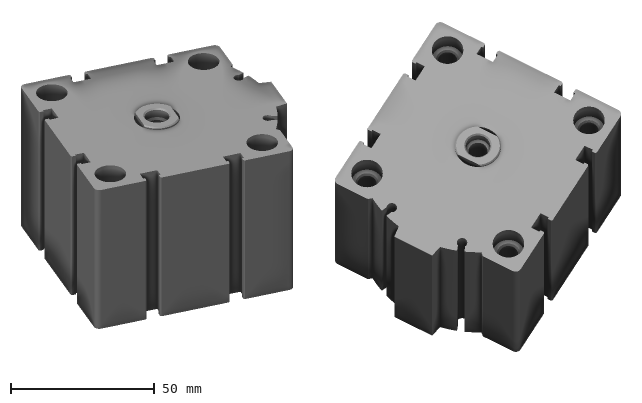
import cadquery as cq
import math

WIDTH = 74.0
HALF = WIDTH / 2
TOTAL_DEPTH = 82.5
CREST_Y = TOTAL_DEPTH - HALF
TOTAL_HEIGHT = 58.0
ROD_PROTRUSION = 1.0
HOUSING_HEIGHT = TOTAL_HEIGHT - ROD_PROTRUSION
CORNER_RADIUS = 2.0

SHOULDER_RADIUS = 42.0
SHOULDER_END_X = 21.8
SHOULDER_GROOVE_X = 23.0
BLOCK_TOP_HALF_WIDTH = 7.6
BLOCK_BASE_HALF_WIDTH = 8.25

SENSOR_ANGLE = 21.4
SENSOR_PITCH_RADIUS = 38.5
SENSOR_DIAMETER = 3.6
SENSOR_NECK_WIDTH = 2.55

SLOT_OFFSET = 15.5
SLOT_MOUTH_WIDTH = 5.1
SLOT_INNER_WIDTH = 6.5
SLOT_LIP = 1.7
SLOT_LIP_CHAMFER = 0.4
SLOT_DEPTH = 5.0

MOUNT_PITCH = 56.6
COUNTERBORE_DIAMETER = 11.0
COUNTERBORE_DEPTH = 7.0
MOUNT_MOUTH_DIAMETER = 8.0
MOUNT_DIAMETER = 6.8

ROD_DIAMETER = 16.0
ROD_BOTTOM_Z = 9.9
ROD_CHAMFER = 0.4
FLAT_SPACING = 13.0
FLAT_HEIGHT = 6.0

ROD_HOLE_CHAMFER = 0.5
ROD_HOLE_DIAMETER = 8.6
ROD_HOLE_DEPTH = 3.5
DRILL_DIAMETER = 6.7
DRILL_DEPTH = 16.5
DRILL_POINT_ANGLE = 118.0


def on_shoulder(x):
    """Point of the shoulder arc at the given x."""
    return x, math.sqrt(SHOULDER_RADIUS**2 - x**2)


def mirrored(point):
    """The point reflected across the Y axis."""
    return -point[0], point[1]


def housing_blank():
    arc_start = on_shoulder(SHOULDER_END_X)
    arc_middle = on_shoulder((SHOULDER_END_X + BLOCK_BASE_HALF_WIDTH) / 2)
    arc_end = on_shoulder(BLOCK_BASE_HALF_WIDTH)
    blank = (
        cq.Workplane("XY")
        .moveTo(-HALF, -HALF)
        .lineTo(HALF, -HALF)
        .lineTo(HALF, HALF)
        .lineTo(SHOULDER_GROOVE_X, HALF)
        .lineTo(*arc_start)
        .threePointArc(arc_middle, arc_end)
        .lineTo(BLOCK_TOP_HALF_WIDTH, CREST_Y)
        .lineTo(-BLOCK_TOP_HALF_WIDTH, CREST_Y)
        .lineTo(*mirrored(arc_end))
        .threePointArc(mirrored(arc_middle), mirrored(arc_start))
        .lineTo(-SHOULDER_GROOVE_X, HALF)
        .lineTo(-HALF, HALF)
        .close()
        .extrude(HOUSING_HEIGHT)
    )
    corner_points = [(x, y, HOUSING_HEIGHT / 2) for x in (-HALF, HALF) for y in (-HALF, HALF)]
    for point in corner_points:
        blank = blank.edges("|Z").edges(cq.selectors.NearestToPointSelector(point)).fillet(CORNER_RADIUS)
    return blank


def t_slot():
    """T-slot with a chamfered mouth, opening to -Y at the origin, as a solid to cut away."""
    half_mouth = SLOT_MOUTH_WIDTH / 2
    half_inner = SLOT_INNER_WIDTH / 2
    right_side = [
        (half_mouth + SLOT_LIP_CHAMFER, 0),
        (half_mouth, SLOT_LIP_CHAMFER),
        (half_mouth, SLOT_LIP),
        (half_inner, SLOT_LIP),
        (half_inner, SLOT_DEPTH),
    ]
    left_side = [mirrored(point) for point in reversed(right_side)]
    return cq.Workplane("XY").polyline(right_side + left_side).close().extrude(HOUSING_HEIGHT)


def sensor_groove():
    """Sensor groove on the +Y axis, to be turned to its place and cut away."""
    neck_length = CREST_Y - SENSOR_PITCH_RADIUS
    channel = cq.Workplane("XY").center(0, SENSOR_PITCH_RADIUS).circle(SENSOR_DIAMETER / 2)
    neck = (
        cq.Workplane("XY")
        .center(0, SENSOR_PITCH_RADIUS + neck_length / 2)
        .rect(SENSOR_NECK_WIDTH, neck_length)
    )
    return channel.extrude(HOUSING_HEIGHT).union(neck.extrude(HOUSING_HEIGHT))


def mounting_hole():
    """Counterbored through hole with a 45 degree mouth, as a revolved solid on the Z axis."""
    floor_z = HOUSING_HEIGHT - COUNTERBORE_DEPTH
    mouth_depth = (MOUNT_MOUTH_DIAMETER - MOUNT_DIAMETER) / 2
    return (
        cq.Workplane("XZ")
        .moveTo(0, 0)
        .lineTo(MOUNT_DIAMETER / 2, 0)
        .lineTo(MOUNT_DIAMETER / 2, floor_z - mouth_depth)
        .lineTo(MOUNT_MOUTH_DIAMETER / 2, floor_z)
        .lineTo(COUNTERBORE_DIAMETER / 2, floor_z)
        .lineTo(COUNTERBORE_DIAMETER / 2, HOUSING_HEIGHT)
        .lineTo(0, HOUSING_HEIGHT)
        .close()
        .revolve()
    )


def make_housing():
    housing = housing_blank()
    for turn in (-90, 0, 90):
        for x in (-SLOT_OFFSET, SLOT_OFFSET):
            slot = t_slot().translate((x, -HALF, 0))
            housing = housing.cut(slot.rotate((0, 0, 0), (0, 0, 1), turn))
    for turn in (-SENSOR_ANGLE, SENSOR_ANGLE):
        housing = housing.cut(sensor_groove().rotate((0, 0, 0), (0, 0, 1), turn))
    for x in (-MOUNT_PITCH / 2, MOUNT_PITCH / 2):
        for y in (-MOUNT_PITCH / 2, MOUNT_PITCH / 2):
            housing = housing.cut(mounting_hole().translate((x, y, 0)))
    rod_bore = (
        cq.Workplane("XY")
        .workplane(offset=ROD_BOTTOM_Z)
        .circle(ROD_DIAMETER / 2)
        .extrude(HOUSING_HEIGHT - ROD_BOTTOM_Z)
    )
    return housing.cut(rod_bore)


def rod_end_hole():
    """Chamfered, stepped hole with a drill point, as a revolved solid on the Z axis."""
    hole_radius = ROD_HOLE_DIAMETER / 2
    drill_radius = DRILL_DIAMETER / 2
    step_z = TOTAL_HEIGHT - ROD_HOLE_DEPTH
    drill_z = TOTAL_HEIGHT - DRILL_DEPTH
    point_slope = 1 / math.tan(math.radians(DRILL_POINT_ANGLE / 2))
    return (
        cq.Workplane("XZ")
        .moveTo(0, drill_z - drill_radius * point_slope)
        .lineTo(drill_radius, drill_z)
        .lineTo(drill_radius, step_z - (hole_radius - drill_radius) * point_slope)
        .lineTo(hole_radius, step_z)
        .lineTo(hole_radius, TOTAL_HEIGHT - ROD_HOLE_CHAMFER)
        .lineTo(hole_radius + ROD_HOLE_CHAMFER, TOTAL_HEIGHT)
        .lineTo(0, TOTAL_HEIGHT)
        .close()
        .revolve()
    )


def make_rod():
    rod = (
        cq.Workplane("XY")
        .workplane(offset=ROD_BOTTOM_Z)
        .circle(ROD_DIAMETER / 2)
        .extrude(TOTAL_HEIGHT - ROD_BOTTOM_Z)
        .faces(">Z")
        .chamfer(ROD_CHAMFER)
    )
    flat_cuts = (
        cq.Workplane("XY")
        .workplane(offset=TOTAL_HEIGHT - FLAT_HEIGHT)
        .rect(2 * ROD_DIAMETER, 2 * ROD_DIAMETER)
        .rect(2 * ROD_DIAMETER, FLAT_SPACING)
        .extrude(FLAT_HEIGHT)
    )
    return rod.cut(flat_cuts).cut(rod_end_hole())


housing = make_housing()
rod = make_rod()
result = cq.Compound.makeCompound([housing.val(), rod.val()])